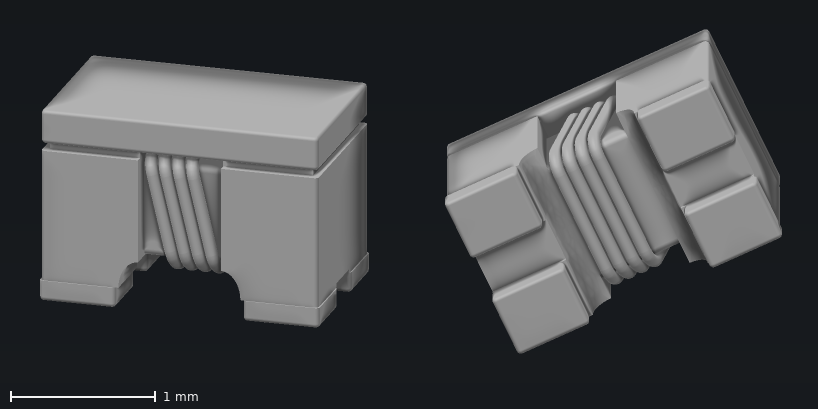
import cadquery as cq
import math

length = 2.02
width = 1.22
height = 1.4
foot_height = 0.15
core_bottom = 0.35
core_top = 1.05
cover_thickness = 0.25
spacer_thickness = 0.05
cover_bottom = height - cover_thickness
post_top = cover_bottom - spacer_thickness

foot_overhang = 0.01
body_length = length - 2 * foot_overhang
body_width = width - 2 * foot_overhang
edge_radius = 0.03
spacer_inset = 0.05
window_length = 0.6
core_width = 0.9
core_radius = 0.05

leg_gap = 0.88
relief_half_length = (leg_gap - window_length) / 2
relief_height = core_bottom - foot_height

foot_length = 0.55
foot_width = 0.45
foot_gap = width - 2 * foot_width
channel_depth = 0.03

wire_diameter = 0.087
turn_count = 4
turn_pitch = 0.099
first_turn_x = -0.158
turn_rise = 0.8
turn_shift = 0.19
turn_width = 1.0
bend_radius = 0.13


def block(size_x, size_y, bottom, top):
    """Box centred on the Z axis between two levels."""
    return cq.Workplane("XY").box(size_x, size_y, top - bottom).translate((0, 0, (bottom + top) / 2))


def make_posts():
    posts = block(body_length, body_width, foot_height, post_top).edges("|Z").fillet(edge_radius)
    window = block(window_length, body_width, foot_height, post_top)
    reliefs = (
        cq.Workplane("XZ", origin=(0, 0, foot_height))
        .pushPoints([(-window_length / 2, 0), (window_length / 2, 0)])
        .ellipse(relief_half_length, relief_height)
        .extrude(body_width / 2, both=True)
    )
    channel = block(body_length, foot_gap, foot_height, foot_height + channel_depth)
    return posts.cut(window).cut(reliefs).cut(channel)


def make_spacers():
    spacers = block(body_length - 2 * spacer_inset, body_width - 2 * spacer_inset, post_top, cover_bottom)
    return spacers.cut(block(window_length, body_width, post_top, cover_bottom))


def make_cover():
    return block(body_length, body_width, cover_bottom, height).edges().fillet(edge_radius)


def make_core():
    return block(window_length, core_width, core_bottom, core_top).edges("|X").fillet(core_radius)


def make_foot(side_x, side_y):
    foot = block(foot_length, foot_width, 0, foot_height).edges("|Z or <Z").fillet(edge_radius)
    return foot.translate((side_x * (length - foot_length) / 2, side_y * (width - foot_width) / 2, 0))


def make_turn():
    """One closed rounded-rectangle turn, centred on the origin and leaning about Y."""
    turn_length = math.hypot(turn_rise, turn_shift)
    lean_angle = math.degrees(math.atan2(turn_shift, turn_rise))
    bend_inset = bend_radius * (1 - math.sqrt(0.5))
    half_y = turn_width / 2
    half_z = turn_length / 2
    straight_y = half_y - bend_radius
    straight_z = half_z - bend_radius
    mid_y = half_y - bend_inset
    mid_z = half_z - bend_inset
    path = (
        cq.Workplane("YZ")
        .moveTo(half_y, 0)
        .lineTo(half_y, straight_z)
        .threePointArc((mid_y, mid_z), (straight_y, half_z))
        .lineTo(-straight_y, half_z)
        .threePointArc((-mid_y, mid_z), (-half_y, straight_z))
        .lineTo(-half_y, -straight_z)
        .threePointArc((-mid_y, -mid_z), (-straight_y, -half_z))
        .lineTo(straight_y, -half_z)
        .threePointArc((mid_y, -mid_z), (half_y, -straight_z))
        .close()
    )
    turn = cq.Workplane("XY").center(0, half_y).circle(wire_diameter / 2).sweep(path)
    return turn.rotate((0, 0, 0), (0, 1, 0), -lean_angle)


result = make_posts().union(make_spacers()).union(make_cover()).union(make_core())

for side_x in (-1, 1):
    for side_y in (-1, 1):
        result = result.union(make_foot(side_x, side_y))

turn = make_turn()
core_middle = (core_bottom + core_top) / 2
for index in range(turn_count):
    result = result.union(turn.translate((first_turn_x + index * turn_pitch, 0, core_middle)))